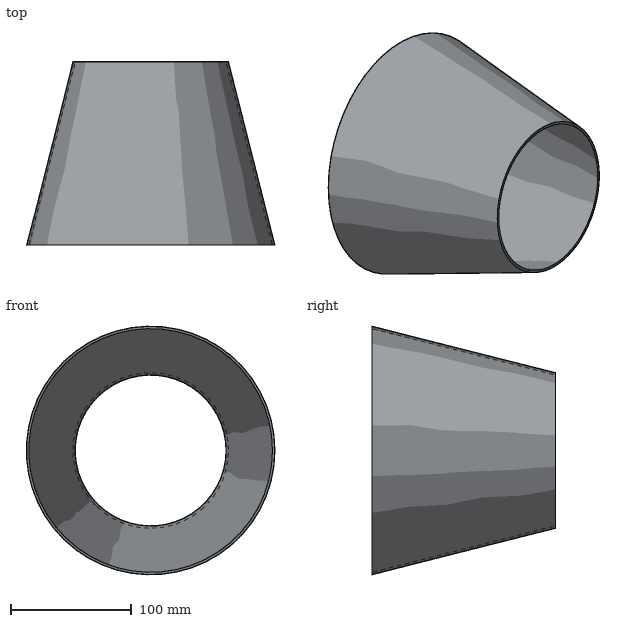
import cadquery as cq

large_diameter = 206.0
small_diameter = 129.0
length = 152.0
radial_wall = 2.0

large_radius = large_diameter / 2
small_radius = small_diameter / 2

wall_section = (
    cq.Workplane("XY")
    .moveTo(large_radius - radial_wall, 0)
    .lineTo(large_radius, 0)
    .lineTo(small_radius, length)
    .lineTo(small_radius - radial_wall, length)
    .close()
)

result = wall_section.revolve(360, (0, 0, 0), (0, 1, 0))